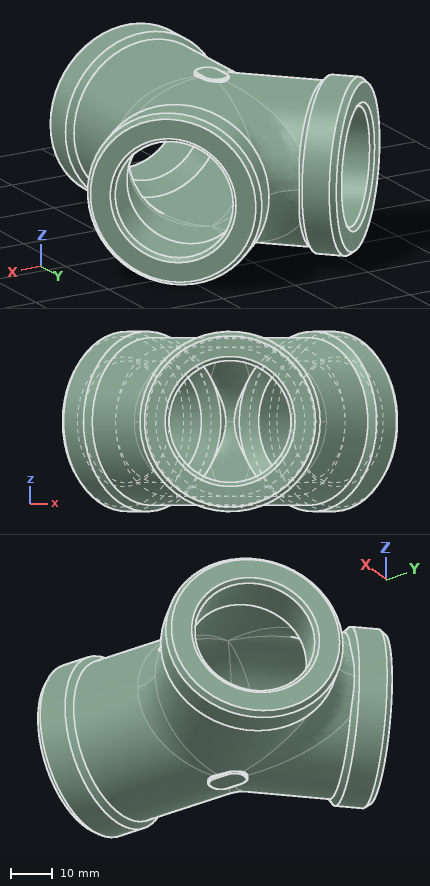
import cadquery as cq

inlet_length = 41.0
outlet_length = 36.1
outlet_angle = 45
body_diameter = 40.0
cavity_diameter = 35.6
bore_diameter = 29.1
mouth_diameter = 31.0
outer_blend_radius = 9.95
cavity_blend_radius = 8.0

collar_diameter = 43.0
inlet_collar_length = 10.1
outlet_collar_length = 9.6
collar_face_diameter = 40.8
collar_chamfer = 1.45

bore_depth = 11.9
mouth_depth = (mouth_diameter - bore_diameter) / 2
cone_depth = (cavity_diameter - bore_diameter) / 2

pad_length = 10.3
pad_width = 6.4
pad_height = 0.5
pad_chamfer = 0.3

arms = [
    (-90, inlet_length, inlet_collar_length),
    (90 - outlet_angle, outlet_length, outlet_collar_length),
    (90 + outlet_angle, outlet_length, outlet_collar_length),
]


def place(shape, angle):
    """Turn a shape built along +X into the direction of an arm."""
    return shape.rotate((0, 0, 0), (0, 0, 1), angle)


def blended_core(diameter, blend_radius, end_margin):
    """Y of equal cylinders with rounded crotches, each arm ending end_margin before its face."""
    overlong = 2 * inlet_length
    core = cq.Workplane("XY").sphere(diameter / 2)
    for angle, _, _ in arms:
        arm = cq.Workplane("YZ").circle(diameter / 2).extrude(overlong)
        core = core.union(place(arm, angle))
    core = core.edges("%ELLIPSE").fillet(blend_radius)
    for angle, length, _ in arms:
        waste = cq.Workplane("YZ", origin=(length - end_margin, 0, 0)).rect(4 * overlong, 4 * overlong)
        core = core.cut(place(waste.extrude(2 * overlong), angle))
    return core


def revolve_profile(points):
    """Turn (axial position, radius) points around the X axis."""
    return cq.Workplane("XY").polyline(points).close().revolve(360, (0, 0, 0), (1, 0, 0))


def collar(length, collar_length):
    """Collar with chamfered ends around the mouth of an arm."""
    back = length - collar_length
    return revolve_profile([
        (back, 0),
        (back, body_diameter / 2),
        (back + collar_chamfer, collar_diameter / 2),
        (length - collar_chamfer, collar_diameter / 2),
        (length, collar_face_diameter / 2),
        (length, 0),
    ])


def socket(length):
    """Bore with a countersunk mouth that opens through a cone into the cavity."""
    bore_end = length - bore_depth
    cavity_end = bore_end - cone_depth
    return revolve_profile([
        (0, 0),
        (0, cavity_diameter / 2),
        (cavity_end, cavity_diameter / 2),
        (bore_end, bore_diameter / 2),
        (length - mouth_depth, bore_diameter / 2),
        (length, mouth_diameter / 2),
        (length, 0),
    ])


def marking_pads():
    """Raised oblong pads above and below the crossing of the axes."""
    thickness = body_diameter + 2 * pad_height
    return (
        cq.Workplane("XY", origin=(0, 0, -thickness / 2))
        .slot2D(pad_length, pad_width, 90)
        .extrude(thickness)
        .faces("|Z")
        .chamfer(pad_chamfer)
    )


body = blended_core(body_diameter, outer_blend_radius, outlet_collar_length / 2).union(marking_pads())
for arm_angle, arm_length, arm_collar in arms:
    body = body.union(place(collar(arm_length, arm_collar), arm_angle))

cavity = blended_core(cavity_diameter, cavity_blend_radius, bore_depth + cone_depth)
result = body.cut(cavity)
for arm_angle, arm_length, _ in arms:
    result = result.cut(place(socket(arm_length), arm_angle))